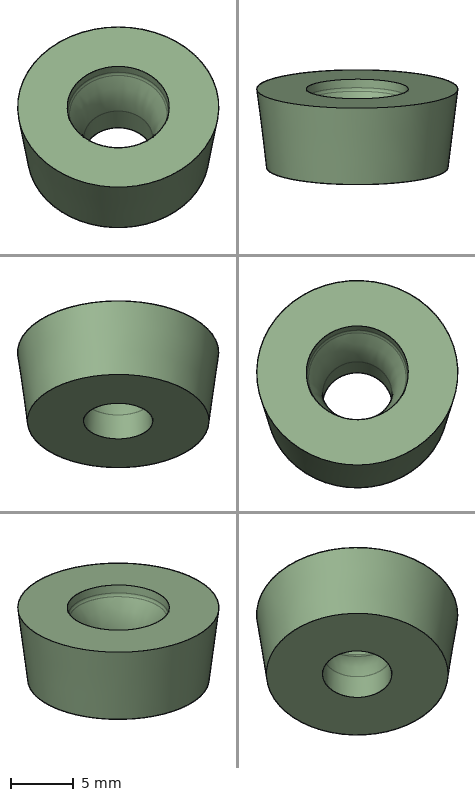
import cadquery as cq
import math

top_diameter = 16.0
height = 6.35
relief_angle = 7.0
bottom_radius = top_diameter / 2 - height * math.tan(math.radians(relief_angle))

recess_top_diameter = 8.11
recess_floor_diameter = 7.97
recess_depth = 0.67
seat_diameter = 7.75
step_depth = 0.27
bore_diameter = 5.5
seat_arc_radius = 5.12


def make_body():
    """Round body that narrows from the top face to the bottom face."""
    profile = (
        cq.Workplane("XZ")
        .lineTo(bottom_radius, 0)
        .lineTo(top_diameter / 2, height)
        .lineTo(0, height)
        .close()
    )
    return profile.revolve(360, (0, 0, 0), (0, 1, 0))


def make_screw_hole():
    """Solid of revolution removed for the screw; the seat arc runs tangent into the bore."""
    recess_top_radius = recess_top_diameter / 2
    recess_floor_radius = recess_floor_diameter / 2
    seat_radius = seat_diameter / 2
    bore_radius = bore_diameter / 2
    recess_floor = height - recess_depth
    seat_top = recess_floor - step_depth

    arc_centre_x = bore_radius + seat_arc_radius
    arc_angle = math.acos((arc_centre_x - seat_radius) / seat_arc_radius)
    seat_bottom = seat_top - seat_arc_radius * math.sin(arc_angle)
    arc_middle = (
        arc_centre_x - seat_arc_radius * math.cos(arc_angle / 2),
        seat_bottom + seat_arc_radius * math.sin(arc_angle / 2),
    )

    profile = (
        cq.Workplane("XZ")
        .moveTo(0, height)
        .lineTo(recess_top_radius, height)
        .lineTo(recess_floor_radius, recess_floor)
        .tangentArcPoint((seat_radius, seat_top), relative=False)
        .threePointArc(arc_middle, (bore_radius, seat_bottom))
        .lineTo(bore_radius, 0)
        .lineTo(0, 0)
        .close()
    )
    return profile.revolve(360, (0, 0, 0), (0, 1, 0))


result = make_body().cut(make_screw_hole())